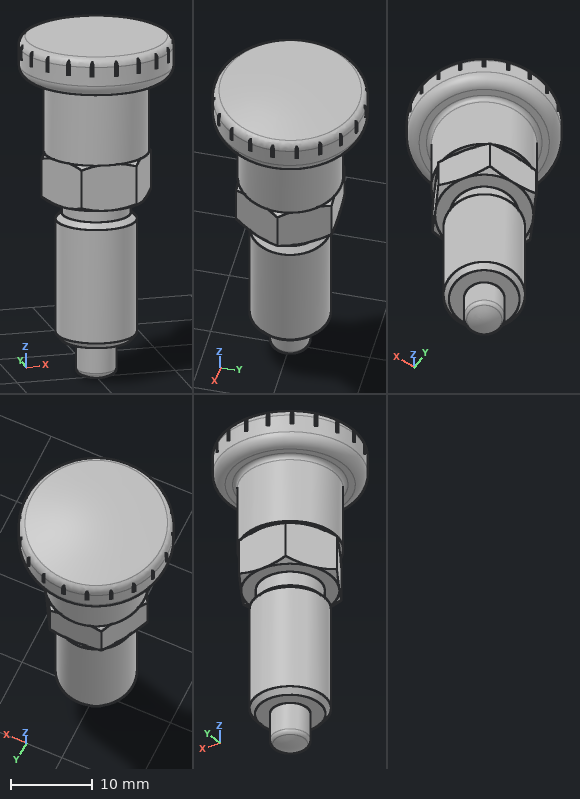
import cadquery as cq
import math

pin_radius = 5.0 / 2
pin_nose_radius = 4.35
pin_nose_fillet = 0.67
shank_radius = 5.0
shank_bottom_z = 4.95
shank_top_z = 20.25
shank_chamfer_width = 0.67
shank_chamfer_height = 0.8
neck_radius = 4.25
neck_bottom_z = shank_top_z + shank_radius - neck_radius
hex_bottom_z = 23.0
hex_height = 5.95
hex_across_flats = 12.0
hex_chamfer_angle = 30.0
hex_top_z = hex_bottom_z + hex_height

total_height = 45.0
sleeve_radius = 6.48
head_radius = 9.5
head_bottom_z = 38.45
dome_radius = 26.55
sleeve_fillet = 0.6
head_bottom_fillet = 1.55
head_top_fillet = 1.15
groove_count = 20
groove_width = 0.35
groove_depth = 0.2
groove_bottom_z = 41.25


def cap_sagitta(sphere_radius, distance):
    """Height lost from the apex of a spherical cap at a distance from its axis."""
    return sphere_radius - math.sqrt(sphere_radius**2 - distance**2)


def fillet_circle(body, radius, z, fillet_radius):
    """Fillet the circular edge of the given radius and height around the Z axis."""
    tolerance = 0.005
    reach = radius + tolerance
    edge_box = cq.selectors.BoxSelector(
        (-reach, -reach, z - tolerance),
        (reach, reach, z + tolerance),
        boundingbox=True,
    )
    return body.edges(edge_box).fillet(fillet_radius)


def make_hexagon():
    """Hexagonal prism, corners on the X axis, with both ends chamfered by cones."""
    corner_radius = hex_across_flats / math.sqrt(3)
    flat_radius = hex_across_flats / 2
    chamfer_height = (corner_radius - flat_radius) * math.tan(math.radians(hex_chamfer_angle))
    prism = (
        cq.Workplane("XY")
        .workplane(offset=hex_bottom_z)
        .polygon(6, 2 * corner_radius)
        .extrude(hex_height)
    )
    chamfer_envelope = (
        cq.Workplane("XZ")
        .moveTo(0, hex_bottom_z)
        .lineTo(flat_radius, hex_bottom_z)
        .lineTo(corner_radius, hex_bottom_z + chamfer_height)
        .lineTo(corner_radius, hex_top_z - chamfer_height)
        .lineTo(flat_radius, hex_top_z)
        .lineTo(0, hex_top_z)
        .close()
        .revolve(360, (0, 0, 0), (0, 1, 0))
    )
    return prism.intersect(chamfer_envelope)


def make_plunger_body():
    """Pin, shank and neck as one turned shape, carrying the hexagon on top."""
    nose_mid_x = pin_radius / 2
    nose_mid_z = cap_sagitta(pin_nose_radius, nose_mid_x)
    nose_edge_z = cap_sagitta(pin_nose_radius, pin_radius)
    turned = (
        cq.Workplane("XZ")
        .moveTo(0, 0)
        .threePointArc((nose_mid_x, nose_mid_z), (pin_radius, nose_edge_z))
        .lineTo(pin_radius, shank_bottom_z)
        .lineTo(shank_radius - shank_chamfer_width, shank_bottom_z)
        .lineTo(shank_radius, shank_bottom_z + shank_chamfer_height)
        .lineTo(shank_radius, shank_top_z)
        .lineTo(neck_radius, neck_bottom_z)
        .lineTo(neck_radius, hex_bottom_z)
        .lineTo(0, hex_bottom_z)
        .close()
        .revolve(360, (0, 0, 0), (0, 1, 0))
    )
    turned = fillet_circle(turned, pin_radius, nose_edge_z, pin_nose_fillet)
    return turned.union(make_hexagon())


def make_grip_groove(angle):
    """Cutter for one upright V groove, running from its lower end out through the rounded rim."""
    return (
        cq.Workplane("XY")
        .workplane(offset=groove_bottom_z)
        .moveTo(head_radius - groove_depth, 0)
        .lineTo(head_radius + groove_depth, groove_width)
        .lineTo(head_radius + groove_depth, -groove_width)
        .close()
        .extrude(total_height - groove_bottom_z)
        .rotate((0, 0, 0), (0, 0, 1), angle)
    )


def make_knob():
    """Sleeve resting on the hexagon, with the domed and grooved head above it."""
    rim_z = total_height - cap_sagitta(dome_radius, head_radius)
    dome_mid_x = head_radius / 2
    dome_mid_z = total_height - cap_sagitta(dome_radius, dome_mid_x)
    knob = (
        cq.Workplane("XZ")
        .moveTo(0, hex_top_z)
        .lineTo(sleeve_radius, hex_top_z)
        .lineTo(sleeve_radius, head_bottom_z)
        .lineTo(head_radius, head_bottom_z)
        .lineTo(head_radius, rim_z)
        .threePointArc((dome_mid_x, dome_mid_z), (0, total_height))
        .close()
        .revolve(360, (0, 0, 0), (0, 1, 0))
    )
    knob = fillet_circle(knob, sleeve_radius, head_bottom_z, sleeve_fillet)
    knob = fillet_circle(knob, head_radius, head_bottom_z, head_bottom_fillet)
    knob = fillet_circle(knob, head_radius, rim_z, head_top_fillet)
    for index in range(groove_count):
        knob = knob.cut(make_grip_groove(index * 360 / groove_count))
    return knob


plunger_body = make_plunger_body()
knob = make_knob()

result = cq.Compound.makeCompound([plunger_body.val(), knob.val()])